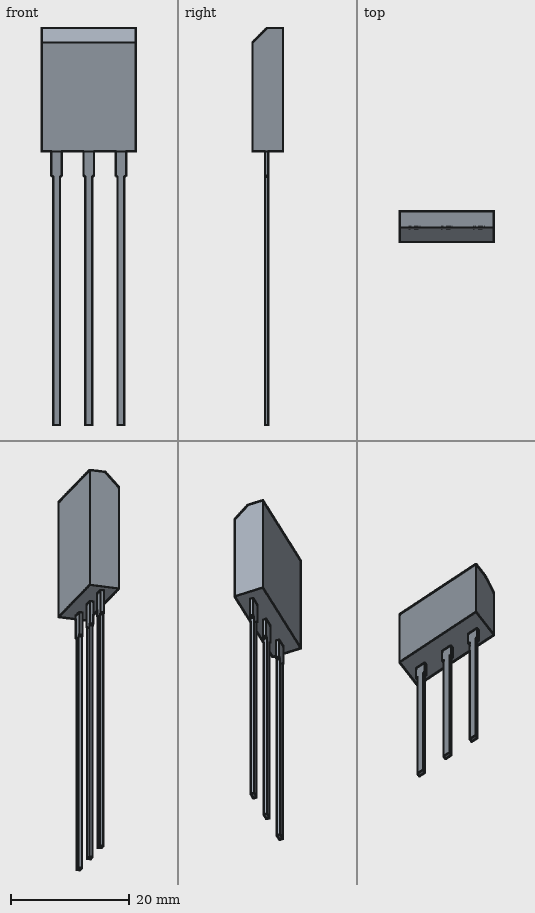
import cadquery as cq

total_height = 67.15

housing_width = 15.9
housing_depth = 5.25
housing_height = 20.9
bevel = 2.5
housing_bottom = total_height - housing_height
housing_front = -housing_depth / 2

lead_count = 3
lead_pitch = 5.45
lead_thickness = 0.6
lead_width = 1.2
shoulder_width = 1.8
shoulder_length = 4.0
taper_length = 0.3
lead_center_from_front = 2.4
lead_length = housing_bottom
lead_y = housing_front + lead_center_from_front


def make_housing():
    """Plain block with a bevelled top front edge."""
    block = cq.Workplane("XY").box(
        housing_width, housing_depth, housing_height, centered=(True, True, False)
    )
    bevelled = block.faces("<Y").edges(">Z").chamfer(bevel)
    return bevelled.translate((0, 0, housing_bottom))


def make_lead(x):
    """Flat lead whose wide shoulder tapers to the shank, butting against the housing's underside."""
    shoulder_end = lead_length - shoulder_length
    taper_end = shoulder_end - taper_length
    right_half = [
        (lead_width / 2, 0),
        (lead_width / 2, taper_end),
        (shoulder_width / 2, shoulder_end),
        (shoulder_width / 2, lead_length),
    ]
    left_half = [(-half_width, z) for half_width, z in reversed(right_half)]
    lead = (
        cq.Workplane("XZ")
        .polyline(right_half + left_half)
        .close()
        .extrude(lead_thickness / 2, both=True)
    )
    return lead.translate((x, lead_y, 0))


housing = make_housing()
leads = [
    make_lead((index - (lead_count - 1) / 2) * lead_pitch)
    for index in range(lead_count)
]

result = cq.Compound.makeCompound([housing.val(), *[lead.val() for lead in leads]])